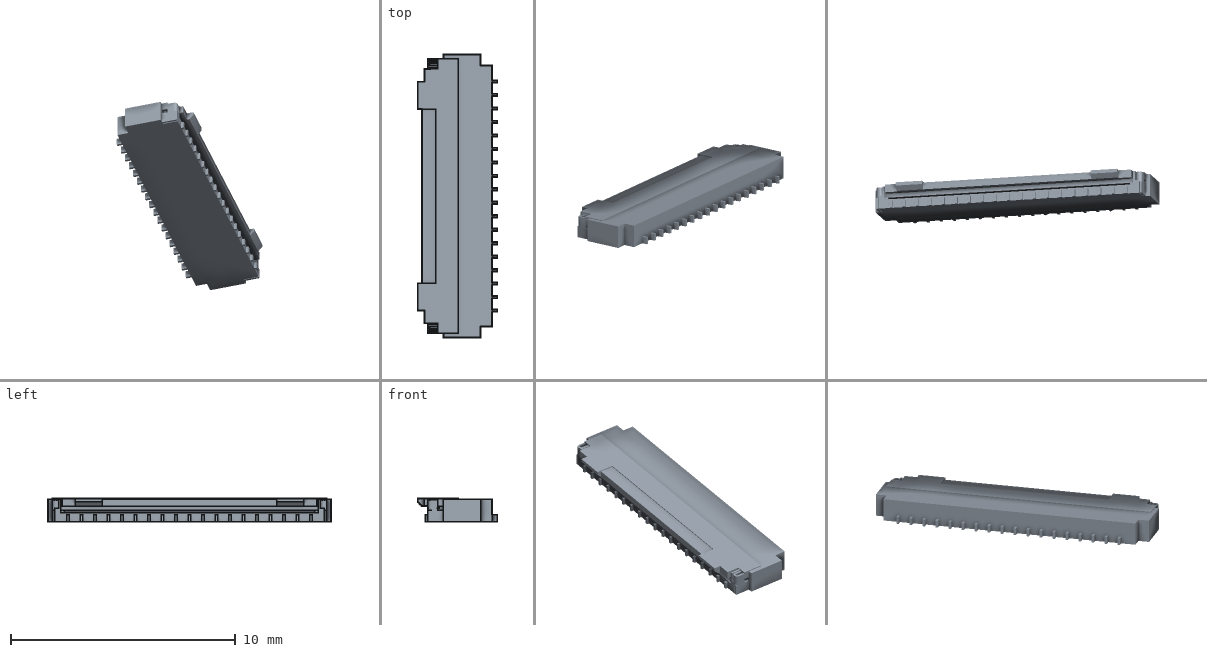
import cadquery as cq


length = 12.6
height = 1.01
front_x = 0.45
wing_front_x = 1.15
wing_rear_x = 2.81
rear_x = 3.31
nail_side_y = 6.11
nail_gap = 0.04
rear_half = 5.81

mouth_half = 5.72
mouth_depth = 0.11
mouth_sill_depth = 0.05
mouth_floor_z = 0.4
slot_half = 5.57
slot_height = 0.1
slot_end_x = 1.8

flap_top_z = 1.05
flap_bottom_z = 0.69
flap_rear_x = 1.8
lip_edge_z = 0.9
lip_bevel_x = 0.19
arm_half = 5.09
shoulder_half = 5.66
shoulder_x = 0.3
notch_x = 0.9
step_half = 3.87
step_rear_x = 0.81

nail_thickness = 0.09
nail_inner_y = 5.81
nail_top_z = 0.97
plate_top_z = 0.5
pocket_floor_z = 0.59
pocket_rear_x = 0.97

front_row_span = 10.8
front_count = 19
rear_count = 18
contact_width = 0.11
contact_height = 0.32
front_tip_x = 0.34
rear_tip_x = 3.55
contact_embed = 0.06

pitch = front_row_span / (front_count - 1)
housing_side_y = nail_side_y - nail_thickness - nail_gap
bend_radius = (nail_side_y - nail_inner_y) / 2
bend_x = front_x + bend_radius
bend_y = nail_side_y - bend_radius


def box(x0, x1, y0, y1, z0, z1):
    return cq.Workplane("XY").box(x1 - x0, y1 - y0, z1 - z0, centered=False).translate((x0, y0, z0))


def wide_box(x0, x1, half, z0, z1):
    """A box centred on Y = 0."""
    return box(x0, x1, -half, half, z0, z1)


def both_ends(shape):
    """The shape and its mirror image at the other end of the connector."""
    return shape.union(shape.mirror("XZ"))


def make_housing():
    shell = wide_box(front_x, rear_x, rear_half, 0, height)
    shell = shell.union(wide_box(wing_front_x, wing_rear_x, length / 2, 0, height))
    shell = shell.union(wide_box(front_x, wing_front_x, housing_side_y, 0, height))

    pocket = box(front_x, pocket_rear_x, nail_inner_y, nail_side_y, pocket_floor_z, height)
    shell = shell.cut(both_ends(pocket))

    shell = shell.cut(wide_box(front_x, notch_x, mouth_half, flap_bottom_z, height))
    slot_top_z = mouth_floor_z + slot_height
    shell = shell.cut(wide_box(front_x, front_x + mouth_depth, mouth_half, slot_top_z, flap_bottom_z))
    shell = shell.cut(wide_box(front_x, front_x + mouth_sill_depth, mouth_half, mouth_floor_z, slot_top_z))
    return shell.cut(wide_box(front_x, slot_end_x, slot_half, mouth_floor_z, slot_top_z))


def make_flap():
    flap = (
        cq.Workplane("XZ")
        .polyline([
            (0, lip_edge_z),
            (0, flap_top_z),
            (flap_rear_x, flap_top_z),
            (flap_rear_x, flap_bottom_z),
            (lip_bevel_x, flap_bottom_z),
        ])
        .close()
        .extrude(nail_side_y, both=True)
    )
    notch = box(0, notch_x, shoulder_half, nail_side_y, 0, flap_top_z)
    shoulder = box(0, shoulder_x, arm_half, nail_side_y, 0, flap_top_z)
    flap = flap.cut(both_ends(notch.union(shoulder)))
    flap = flap.cut(wide_box(0, step_rear_x, step_half, height, flap_top_z))
    return flap.cut(wide_box(0, lip_bevel_x, step_half, 0, flap_top_z))


def contact_row(count, x0, x1):
    half_width = contact_width / 2
    row = cq.Workplane("XY")
    for i in range(count):
        y = (i - (count - 1) / 2) * pitch
        row = row.union(box(x0, x1, y - half_width, y + half_width, 0, contact_height))
    return row


def make_connector():
    """Housing with its closed flap and both rows of contacts, as one body."""
    connector = make_housing().union(make_flap())
    connector = connector.union(contact_row(front_count, front_tip_x, front_x + contact_embed))
    return connector.union(contact_row(rear_count, rear_x - contact_embed, rear_tip_x))


def hairpin(radius):
    """Solid of the hairpin outline at the given distance from the bend axis."""
    return (
        cq.Workplane("XY", origin=(0, 0, plate_top_z))
        .moveTo(notch_x, bend_y + radius)
        .lineTo(bend_x, bend_y + radius)
        .threePointArc((bend_x - radius, bend_y), (bend_x, bend_y - radius))
        .lineTo(notch_x, bend_y - radius)
        .close()
        .extrude(nail_top_z - plate_top_z)
    )


def make_nail():
    """Sheet-metal nail at the +Y end: a side plate whose upper part bends back in a hairpin."""
    bend = hairpin(bend_radius).cut(hairpin(bend_radius - nail_thickness))
    bend = bend.cut(box(front_x, notch_x, nail_inner_y, housing_side_y, 0, pocket_floor_z))
    plate_inner_y = nail_side_y - nail_thickness
    plate = box(front_x, wing_front_x, plate_inner_y, nail_side_y, 0, plate_top_z)
    return plate.union(bend)


connector = make_connector()
nail = make_nail()
nails = [nail.val(), nail.mirror("XZ").val()]

result = cq.Compound.makeCompound([connector.val(), *nails])